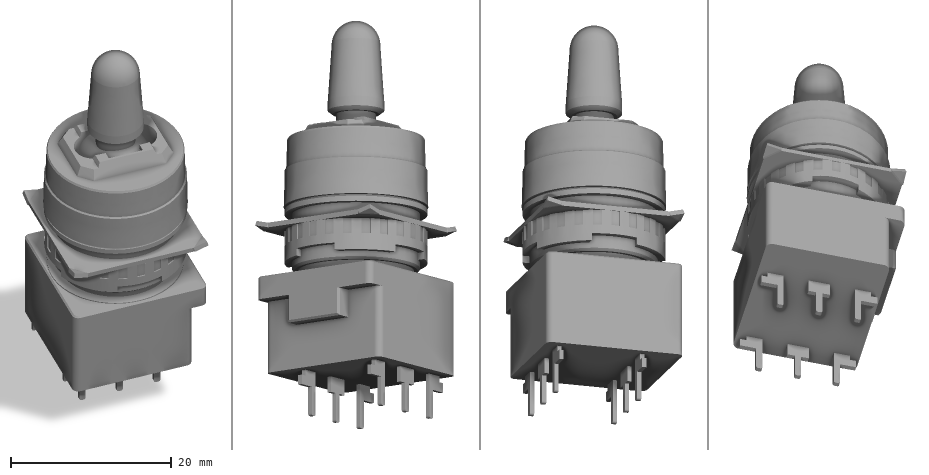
import cadquery as cq
import math

TERMINAL_SHOULDER_Z = 3.65
TERMINAL_WIDE_TOP_Z = 4.85
CASE_BOTTOM_Z = 5.6
CASE_TOP_Z = 17.55
BARREL_BOTTOM_Z = 18.6
NUT_BOTTOM_Z = 19.6
PLATE_BOTTOM_Z = 23.6
FLANGE_BOTTOM_Z = 25.75
FLANGE_TOP_Z = 26.4
BEZEL_BOTTOM_Z = 26.7
BEZEL_LEDGE_Z = 31.35
BEZEL_TOP_Z = 35.45
BOSS_TOP_Z = 36.65
WING_TOP_Z = 37.25
KNOB_BOTTOM_Z = 38.55
KNOB_TAPER_Z = 40.2
DOME_BASE_Z = 47.7
LEVER_TOP_Z = 50.4

CASE_SIDE = 17.85
CASE_CORNER_RADIUS = 0.8
CASE_TOP_CHAMFER = 0.2
CASE_GROOVE_RADIUS = 8.65
CASE_GROOVE_WIDTH = 0.15
CASE_GROOVE_DEPTH = 0.15
STEP_DEPTH = 1.95
STEP_TOP_Z = 14.6
KEY_BOTTOM_Z = 11.15
KEY_WIDTH = 8.05
KEY_CHAMFER = 0.25
KEY_EMBED = 0.5

TERMINAL_ROWS_X = (-6.95, 3.9)
TERMINAL_MIDDLE_Y = -1.0
TERMINAL_PITCH = 5.0
TERMINAL_THICKNESS = 0.55
BLADE_WIDTH = 0.8
BLADE_TIP_RADIUS = 0.25
MIDDLE_STUB_WIDTH = 2.75
END_NECK_REACH = 1.65
END_WIDE_REACH = 2.45

NECK_RADIUS = 7.25
BARREL_RADIUS = 8.0
BARREL_CHAMFER = 0.3
FLANGE_RADIUS = 8.9
GROOVE_RADIUS = 8.5
BEZEL_BOTTOM_RADIUS = 9.0
BEZEL_LEDGE_RADIUS = 8.9
BEZEL_WALL_RADIUS = 8.7
BEZEL_LEDGE_RISE = 0.15
BEZEL_RIM_RADIUS = 8.6
BEZEL_RIM_CHAMFER_WIDTH = 0.15
BEZEL_RIM_CHAMFER_HEIGHT = 0.25

BOSS_HALF_X = 5.1
BOSS_HALF_Y = 6.45
BOSS_CORNER_CUT = 1.6
BOSS_SLOPE_X = 0.65
BOSS_SLOPE_Y = 0.5
WING_HALF_Y_BASE = 3.95
WING_HALF_Y_TOP = 3.65
WINDOW_LENGTH = 7.2
WINDOW_WIDTH = 4.55

SLOT_RADIUS = 2.45
SLOT_HALF_LENGTH = 5.4
SLOT_END_TILT = 15.0
SLOT_END_OVERRUN = 1.0
ROCKER_RADIUS = 5.3
ROCKER_AXIS_Z = 31.85

STEM_RADIUS = 2.45
KNOB_RADIUS = 3.55
KNOB_LOWER_RADIUS = 2.9
KNOB_CHAMFER_HEIGHT = 0.45
DOME_RADIUS = 3.0

NUT_RADIUS = 8.9
NUT_SLOT_COUNT = 24
NUT_SLOT_WIDTH = 1.1
NUT_SLOT_HEIGHT = 1.9
NUT_SLOT_DEPTH = 0.15
NUT_NOTCH_WIDTH = 5.95
NUT_NOTCH_HEIGHT = 0.9

PLATE_SIDE = 17.8
PLATE_THICKNESS = 0.6
PLATE_TAB_LEG = 1.85
PLATE_TAB_ANGLE = 20.0


def box(x_min, x_max, y_min, y_max, z_min, z_max):
    size = (x_max - x_min, y_max - y_min, z_max - z_min)
    return cq.Workplane("XY").box(*size, centered=False).translate((x_min, y_min, z_min))


def cylinder(radius, z_min, z_max):
    return cq.Workplane("XY").workplane(offset=z_min).circle(radius).extrude(z_max - z_min)


def revolved(half_profile):
    """Turn a closed wire drawn in X (radius) and Z about the Z axis."""
    return half_profile.revolve(360, (0, 0, 0), (0, 1, 0))


def make_case():
    half = CASE_SIDE / 2
    step_y = half - STEP_DEPTH
    lip = box(-half, half, -half, half, STEP_TOP_Z, CASE_TOP_Z).edges("|Z").fillet(CASE_CORNER_RADIUS)
    lower = box(-half, half, -half, step_y, CASE_BOTTOM_Z, STEP_TOP_Z)
    lower = lower.edges("|Z").fillet(CASE_CORNER_RADIUS)
    lip = lip.faces(">Z").edges().chamfer(CASE_TOP_CHAMFER)
    key = box(-KEY_WIDTH / 2, KEY_WIDTH / 2, step_y - KEY_EMBED, half, KEY_BOTTOM_Z, STEP_TOP_Z)
    key = key.edges(">Y and (not >Z)").chamfer(KEY_CHAMFER)
    groove_floor_z = CASE_TOP_Z - CASE_GROOVE_DEPTH
    groove = cylinder(CASE_GROOVE_RADIUS, groove_floor_z, CASE_TOP_Z)
    groove = groove.cut(cylinder(CASE_GROOVE_RADIUS - CASE_GROOVE_WIDTH, groove_floor_z, CASE_TOP_Z))
    return lip.union(lower).union(key).cut(groove)


def terminal(outline, x_centre, y_centre):
    plate = cq.Workplane("YZ").polyline(outline).close().extrude(TERMINAL_THICKNESS)
    plate = plate.faces("<Z").edges("|X").fillet(BLADE_TIP_RADIUS)
    return plate.translate((x_centre - TERMINAL_THICKNESS / 2, y_centre, 0))


def middle_terminal(x_centre):
    blade = BLADE_WIDTH / 2
    stub = MIDDLE_STUB_WIDTH / 2
    outline = [
        (-blade, 0),
        (blade, 0),
        (blade, TERMINAL_SHOULDER_Z),
        (stub, TERMINAL_SHOULDER_Z),
        (stub, CASE_BOTTOM_Z),
        (-stub, CASE_BOTTOM_Z),
        (-stub, TERMINAL_SHOULDER_Z),
        (-blade, TERMINAL_SHOULDER_Z),
    ]
    return terminal(outline, x_centre, TERMINAL_MIDDLE_Y)


def end_terminal(x_centre, side):
    """Terminal whose shoulder points away from the middle one; side is +1 or -1 along Y."""
    blade = BLADE_WIDTH / 2
    outline = [
        (-side * blade, 0),
        (side * blade, 0),
        (side * blade, TERMINAL_SHOULDER_Z),
        (side * END_WIDE_REACH, TERMINAL_SHOULDER_Z),
        (side * END_WIDE_REACH, TERMINAL_WIDE_TOP_Z),
        (side * END_NECK_REACH, TERMINAL_WIDE_TOP_Z),
        (side * END_NECK_REACH, CASE_BOTTOM_Z),
        (-side * blade, CASE_BOTTOM_Z),
    ]
    return terminal(outline, x_centre, TERMINAL_MIDDLE_Y + side * TERMINAL_PITCH)


def make_barrel_and_bezel():
    profile = cq.Workplane("XZ").polyline([
        (0, CASE_TOP_Z),
        (NECK_RADIUS, CASE_TOP_Z),
        (NECK_RADIUS, BARREL_BOTTOM_Z),
        (BARREL_RADIUS - BARREL_CHAMFER, BARREL_BOTTOM_Z),
        (BARREL_RADIUS, BARREL_BOTTOM_Z + BARREL_CHAMFER),
        (BARREL_RADIUS, FLANGE_BOTTOM_Z),
        (FLANGE_RADIUS, FLANGE_BOTTOM_Z),
        (FLANGE_RADIUS, FLANGE_TOP_Z),
        (GROOVE_RADIUS, FLANGE_TOP_Z),
        (GROOVE_RADIUS, BEZEL_BOTTOM_Z),
        (BEZEL_BOTTOM_RADIUS, BEZEL_BOTTOM_Z),
        (BEZEL_LEDGE_RADIUS, BEZEL_LEDGE_Z),
        (BEZEL_WALL_RADIUS, BEZEL_LEDGE_Z + BEZEL_LEDGE_RISE),
        (BEZEL_RIM_RADIUS, BEZEL_TOP_Z - BEZEL_RIM_CHAMFER_HEIGHT),
        (BEZEL_RIM_RADIUS - BEZEL_RIM_CHAMFER_WIDTH, BEZEL_TOP_Z),
        (0, BEZEL_TOP_Z),
    ]).close()
    return revolved(profile)


def octagon(z, inset_x, inset_y):
    """Rectangle with cut corners; half of each inset comes off the corner cut."""
    x = BOSS_HALF_X - inset_x
    y = BOSS_HALF_Y - inset_y
    x_cut = x - BOSS_CORNER_CUT + inset_x / 2
    y_cut = y - BOSS_CORNER_CUT + inset_y / 2
    points = [(x, -y_cut), (x, y_cut), (x_cut, y), (-x_cut, y),
              (-x, y_cut), (-x, -y_cut), (-x_cut, -y), (x_cut, -y)]
    return cq.Wire.makePolygon([cq.Vector(px, py, z) for px, py in points], close=True)


def rectangle(z, half_x, half_y):
    corners = [(half_x, -half_y), (half_x, half_y), (-half_x, half_y), (-half_x, -half_y)]
    return cq.Wire.makePolygon([cq.Vector(px, py, z) for px, py in corners], close=True)


def make_boss():
    boss_rise = BOSS_TOP_Z - BEZEL_TOP_Z
    wing_rise = WING_TOP_Z - BEZEL_TOP_Z
    frustum = cq.Solid.makeLoft([
        octagon(BEZEL_TOP_Z, 0, 0),
        octagon(BOSS_TOP_Z, boss_rise * BOSS_SLOPE_X, boss_rise * BOSS_SLOPE_Y),
    ], True)
    wings = cq.Solid.makeLoft([
        rectangle(BOSS_TOP_Z, BOSS_HALF_X - boss_rise * BOSS_SLOPE_X, WING_HALF_Y_BASE),
        rectangle(WING_TOP_Z, BOSS_HALF_X - wing_rise * BOSS_SLOPE_X, WING_HALF_Y_TOP),
    ], True)
    return cq.Workplane(frustum).union(cq.Workplane(wings))


def make_lever_opening():
    """Slot for the lever swing, its round ends leaning inwards with depth, and the window."""
    tilt = math.radians(SLOT_END_TILT)
    height = WING_TOP_Z - ROCKER_AXIS_Z
    axis_y_top = SLOT_HALF_LENGTH - SLOT_RADIUS / math.cos(tilt)
    axis_y_high = axis_y_top + (WING_TOP_Z - BOSS_TOP_Z) * math.tan(tilt)
    axis_y_low = axis_y_high - height * math.tan(tilt)
    middle = (
        cq.Workplane("YZ")
        .polyline([(-axis_y_low, ROCKER_AXIS_Z), (axis_y_low, ROCKER_AXIS_Z),
                   (axis_y_high, WING_TOP_Z), (-axis_y_high, WING_TOP_Z)])
        .close()
        .extrude(SLOT_RADIUS, both=True)
    )
    window = box(-WINDOW_LENGTH / 2, WINDOW_LENGTH / 2, -WINDOW_WIDTH / 2, WINDOW_WIDTH / 2,
                 ROCKER_AXIS_Z, WING_TOP_Z)
    opening = middle.union(window)
    for side in (-1, 1):
        direction = cq.Vector(0, side * math.sin(tilt), math.cos(tilt))
        start = cq.Vector(0, side * axis_y_low, ROCKER_AXIS_Z) - direction * SLOT_END_OVERRUN
        length = height / math.cos(tilt) + 2 * SLOT_END_OVERRUN
        end = cq.Solid.makeCylinder(SLOT_RADIUS, length, start, direction)
        opening = opening.union(cq.Workplane(end))
    return opening


def make_rocker():
    return (
        cq.Workplane("YZ")
        .center(0, ROCKER_AXIS_Z)
        .circle(ROCKER_RADIUS)
        .extrude(WINDOW_LENGTH / 2, both=True)
    )


def make_lever():
    dome_rise = LEVER_TOP_Z - DOME_BASE_Z
    sphere_radius = (DOME_RADIUS**2 + dome_rise**2) / (2 * dome_rise)
    half_angle = math.asin(DOME_RADIUS / sphere_radius) / 2
    dome_middle = (
        sphere_radius * math.sin(half_angle),
        LEVER_TOP_Z - sphere_radius * (1 - math.cos(half_angle)),
    )
    profile = (
        cq.Workplane("XZ")
        .moveTo(0, ROCKER_AXIS_Z)
        .lineTo(STEM_RADIUS, ROCKER_AXIS_Z)
        .lineTo(STEM_RADIUS, KNOB_BOTTOM_Z)
        .lineTo(KNOB_LOWER_RADIUS, KNOB_BOTTOM_Z)
        .lineTo(KNOB_RADIUS, KNOB_BOTTOM_Z + KNOB_CHAMFER_HEIGHT)
        .lineTo(KNOB_RADIUS, KNOB_TAPER_Z)
        .lineTo(DOME_RADIUS, DOME_BASE_Z)
        .threePointArc(dome_middle, (0, LEVER_TOP_Z))
        .close()
    )
    return revolved(profile)


def make_switch():
    body = make_barrel_and_bezel().union(make_boss()).cut(make_lever_opening())
    body = body.union(make_rocker()).union(make_lever()).union(make_case())
    for x_centre in TERMINAL_ROWS_X:
        body = body.union(middle_terminal(x_centre))
        for side in (-1, 1):
            body = body.union(end_terminal(x_centre, side))
    return body


def make_nut():
    nut = cylinder(NUT_RADIUS, NUT_BOTTOM_Z, PLATE_BOTTOM_Z)
    nut = nut.cut(cylinder(BARREL_RADIUS, NUT_BOTTOM_Z, PLATE_BOTTOM_Z))
    slot = box(NUT_RADIUS - NUT_SLOT_DEPTH, NUT_RADIUS, -NUT_SLOT_WIDTH / 2, NUT_SLOT_WIDTH / 2,
               PLATE_BOTTOM_Z - NUT_SLOT_HEIGHT, PLATE_BOTTOM_Z)
    for index in range(NUT_SLOT_COUNT):
        nut = nut.cut(slot.rotate((0, 0, 0), (0, 0, 1), index * 360 / NUT_SLOT_COUNT))
    notch = box(-NUT_RADIUS, NUT_RADIUS, -NUT_NOTCH_WIDTH / 2, NUT_NOTCH_WIDTH / 2,
                NUT_BOTTOM_Z, NUT_BOTTOM_Z + NUT_NOTCH_HEIGHT)
    for angle in (0, 90):
        nut = nut.cut(notch.rotate((0, 0, 0), (0, 0, 1), angle))
    return nut


def make_tab():
    """Corner triangle at +X +Y, bent up about its top edge, with the bend below it filled."""
    half = PLATE_SIDE / 2
    inner = half - PLATE_TAB_LEG
    plate_top = PLATE_BOTTOM_Z + PLATE_THICKNESS
    bend_start = (half, inner, plate_top)
    bend_end = (inner, half, plate_top)
    leaf = (
        cq.Workplane("XY")
        .workplane(offset=PLATE_BOTTOM_Z)
        .polyline([(half, half), (inner, half), (half, inner)])
        .close()
        .extrude(PLATE_THICKNESS)
    )
    leaf = leaf.rotate(bend_start, bend_end, -PLATE_TAB_ANGLE)

    angle = math.radians(PLATE_TAB_ANGLE)
    bend_plane = cq.Plane(origin=bend_start, xDir=(1, 1, 0), normal=(1, -1, 0))
    fill = (
        cq.Workplane(bend_plane)
        .polyline([
            (0, 0),
            (0, -PLATE_THICKNESS),
            (PLATE_THICKNESS * math.sin(angle), -PLATE_THICKNESS * math.cos(angle)),
        ])
        .close()
        .extrude(-PLATE_TAB_LEG * math.sqrt(2))
    )
    return leaf.union(fill)


def make_plate():
    half = PLATE_SIDE / 2
    plate_top = PLATE_BOTTOM_Z + PLATE_THICKNESS
    plate = box(-half, half, -half, half, PLATE_BOTTOM_Z, plate_top)
    plate = plate.edges("|Z").chamfer(PLATE_TAB_LEG)
    plate = plate.cut(cylinder(BARREL_RADIUS, PLATE_BOTTOM_Z, plate_top))
    tab = make_tab()
    for angle in range(0, 360, 90):
        plate = plate.union(tab.rotate((0, 0, 0), (0, 0, 1), angle))
    return plate


switch = make_switch().solids()
nut = make_nut().solids()
plate = make_plate().solids()

result = cq.Compound.makeCompound([switch.val(), nut.val(), plate.val()])